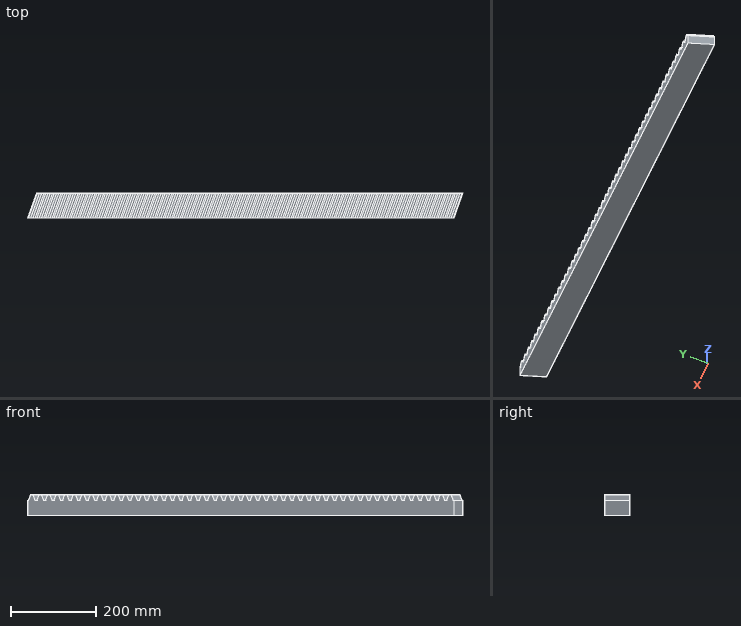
import cadquery as cq
import math

height = 49.0
width = 59.0
overall_length = 1019.97
tooth_count = 50
tooth_pitch = 20.0
module = 6.0
normal_pressure_angle = math.radians(20.0)
addendum = module
dedendum = 1.25 * module

helix_angle = math.acos(math.pi * module / tooth_pitch)
side_shift = width * math.tan(helix_angle)
body_length = overall_length - side_shift
end_clearance = (tooth_count * tooth_pitch - body_length) / 2

flank_slope = math.tan(normal_pressure_angle) / math.cos(helix_angle)
root_height = height - addendum - dedendum
root_half_width = tooth_pitch / 4 - dedendum * flank_slope
tip_half_width = tooth_pitch / 4 + addendum * flank_slope


def tooth_points(gap_x):
    """Corners of the tooth that stands between the gap at gap_x and the next gap."""
    next_gap_x = gap_x + tooth_pitch
    return [
        (gap_x + root_half_width, root_height),
        (gap_x + tip_half_width, height),
        (next_gap_x - tip_half_width, height),
        (next_gap_x - root_half_width, root_height),
    ]


def rack_section():
    """Closed XZ outline of the front face; both ends are cut just inside a gap's middle."""
    points = [(0, 0), (0, root_height)]
    for tooth in range(tooth_count):
        points += tooth_points(tooth * tooth_pitch - end_clearance)
    points += [(body_length, root_height), (body_length, 0)]
    return cq.Workplane("XZ").polyline(points).close().val()


slant = cq.Vector(side_shift, width, 0)
result = cq.Workplane(cq.Solid.extrudeLinear(rack_section(), [], slant))